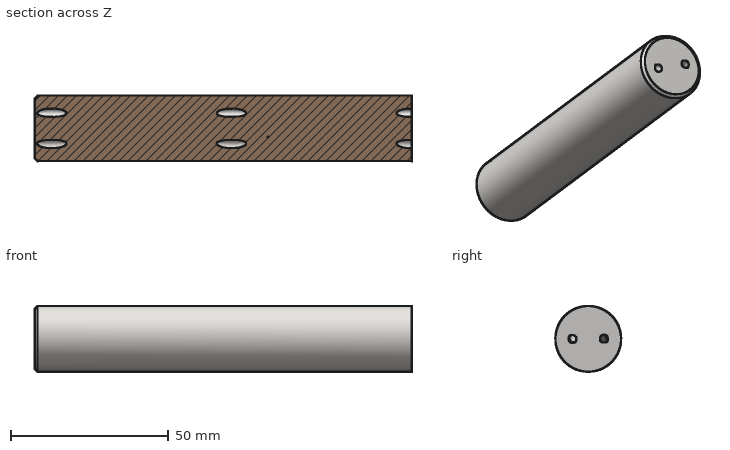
import cadquery as cq
import math

length = 120.0
diameter = 21.0
chamfer = 1.0

hole_diameter = 2.5
hole_spacing = 10.0
start_angle = 72.7
helix_angle = 30.0
hole_count = 2

helix_radius = hole_spacing / 2
pitch = math.pi * diameter / math.tan(math.radians(helix_angle))


def coolant_hole(angle):
    """Right-handed helical hole around Z, starting at the given angle."""
    path = cq.Workplane(cq.Wire.makeHelix(pitch, length, helix_radius))
    hole = (
        cq.Workplane("XY")
        .center(helix_radius, 0)
        .circle(hole_diameter / 2)
        .sweep(path, isFrenet=True)
    )
    return hole.rotate((0, 0, 0), (0, 0, 1), angle)


rod = cq.Workplane("XY").circle(diameter / 2).extrude(length)
rod = rod.faces("<Z").chamfer(chamfer)

for index in range(hole_count):
    rod = rod.cut(coolant_hole(start_angle + index * 360 / hole_count))

result = rod.rotate((0, 0, 0), (0, 1, 0), 90)